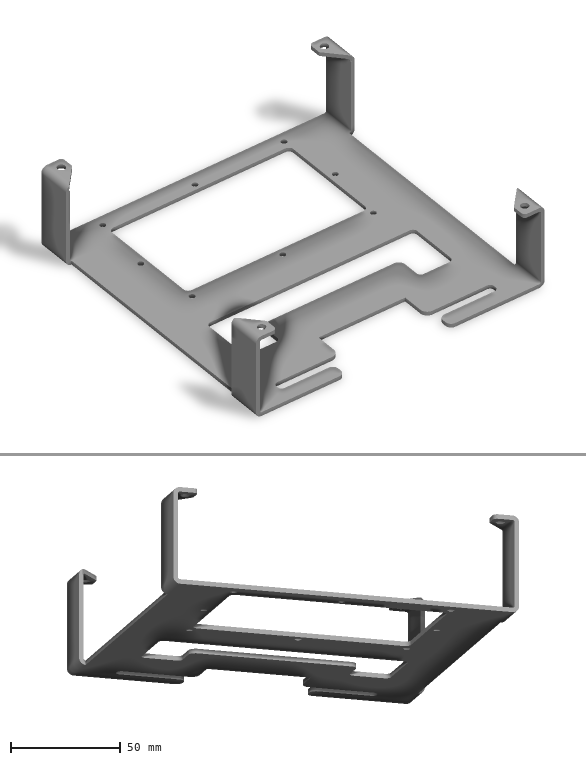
import cadquery as cq

length_x = 162.7
width_y = 166.2
height_z = 46.0
sheet = 2.2
bend_inner = 1.0
bend_outer = bend_inner + sheet

half_x = length_x / 2
half_y = width_y / 2
plate_half_y = half_y - bend_outer

leg_width = 18.8
tab_reach = 12.0
tab_tip_width = 7.6
tab_taper_length = 10.3
tab_corner_radius = 2.0
tab_hole_diameter = 4.3
tab_hole_inset_x = 5.5
tab_hole_inset_y = 7.3

window_x_min = -71.0
window_x_max = -11.6
window_half_y = 52.2
window_radius = 2.7
small_hole_diameter = 3.2
hole_x_left = -75.5
hole_x_left_middle = -74.3
hole_x_centre = -41.7
hole_x_right = -7.8
hole_y_outer = 56.0

c_x_min = 13.0
c_x_max = 43.0
c_x_inner = 28.5
c_half_y = 59.8
c_inner_half_y = 40.2
c_radius = 2.3
c_tongue_radius = 3.5

notch_x = 52.2
notch_half_y = 25.0
notch_corner_radius = 4.0
slot_x_min = 67.6
slot_x_max = 73.1
slot_end_y = 62.7
upper_finger_end_y = 28.5
lower_finger_end_y = -31.9
slot_radius = 2.2
finger_radius = 3.2


def prism(points):
    """Closed polygon in XY extruded through the sheet thickness."""
    return cq.Workplane("XY").polyline(points).close().extrude(sheet)


def box_between(x_min, x_max, y_min, y_max, z_min, z_max):
    """Axis-aligned box given by its limits."""
    size = (x_max - x_min, y_max - y_min, z_max - z_min)
    return cq.Workplane("XY").box(*size, centered=False).translate((x_min, y_min, z_min))


def round_upright_edges(body, radius, x, y_places):
    """Round the vertical edges that stand at x and at each of the y places."""
    reach = 0.2
    for y in y_places:
        selector = cq.selectors.BoxSelector(
            (x - reach, y - reach, -reach), (x + reach, y + reach, sheet + reach)
        )
        body = body.edges("|Z").edges(selector).fillet(radius)
    return body


def plate_blank():
    """Flat plate with the notch, slots and fingers along its +X edge."""
    notched_edge = [
        (half_x, plate_half_y),
        (half_x, upper_finger_end_y),
        (slot_x_max, upper_finger_end_y),
        (slot_x_max, slot_end_y),
        (slot_x_min, slot_end_y),
        (slot_x_min, notch_half_y),
        (notch_x, notch_half_y),
        (notch_x, -notch_half_y),
        (slot_x_min, -notch_half_y),
        (slot_x_min, -slot_end_y),
        (slot_x_max, -slot_end_y),
        (slot_x_max, lower_finger_end_y),
        (half_x, lower_finger_end_y),
        (half_x, -plate_half_y),
    ]
    plain_edge = [(-half_x, -plate_half_y), (-half_x, plate_half_y)]
    plate = prism(notched_edge + plain_edge)
    for finger_end_y in (upper_finger_end_y, lower_finger_end_y):
        for x in (half_x, slot_x_max):
            plate = round_upright_edges(plate, finger_radius, x, (finger_end_y,))
    plate = round_upright_edges(plate, slot_radius, slot_x_max, (slot_end_y, -slot_end_y))
    plate = round_upright_edges(plate, slot_radius, slot_x_min, (slot_end_y, -slot_end_y))
    return round_upright_edges(plate, notch_corner_radius, slot_x_min, (notch_half_y, -notch_half_y))


def window():
    """Rectangular window with rounded corners."""
    body = box_between(window_x_min, window_x_max, -window_half_y, window_half_y, 0, sheet)
    return body.edges("|Z").fillet(window_radius)


def c_opening():
    """C-shaped opening that wraps around a tongue of the plate."""
    upper_half = [
        (c_x_min, c_half_y),
        (c_x_max, c_half_y),
        (c_x_max, c_inner_half_y),
        (c_x_inner, c_inner_half_y),
    ]
    lower_half = [(x, -y) for x, y in reversed(upper_half)]
    body = prism(upper_half + lower_half)
    body = round_upright_edges(body, c_radius, c_x_min, (c_half_y, -c_half_y))
    body = round_upright_edges(body, c_radius, c_x_max, (c_half_y, -c_half_y))
    body = round_upright_edges(body, c_radius, c_x_max, (c_inner_half_y, -c_inner_half_y))
    return round_upright_edges(body, c_tongue_radius, c_x_inner, (c_inner_half_y, -c_inner_half_y))


def small_holes():
    """Fixing holes at the corners and the middle of each side of the window."""
    centres = [(hole_x_left_middle, 0), (hole_x_right, 0)]
    for side in (1, -1):
        centres.append((hole_x_left, side * window_half_y))
        centres.append((hole_x_centre, side * hole_y_outer))
        centres.append((hole_x_right, side * window_half_y))
    return cq.Workplane("XY").pushPoints(centres).circle(small_hole_diameter / 2).extrude(sheet)


def corner_leg():
    """Bent leg with its tab at the +X, +Y corner."""
    tab_end_y = half_y - tab_reach
    inside_y = half_y - sheet
    leg_x_min = half_x - leg_width
    outer = box_between(leg_x_min, half_x, tab_end_y, half_y, 0, height_z)
    outer = outer.edges("|X and >Y").fillet(bend_outer)
    inner = box_between(leg_x_min, half_x, tab_end_y - bend_outer, inside_y, sheet, height_z - sheet)
    inner = inner.edges("|X and >Y").fillet(bend_inner)
    leg = outer.cut(inner)

    foot = box_between(leg_x_min, half_x, tab_end_y, plate_half_y, 0, sheet)
    leg = leg.cut(foot)

    top_bend_z = height_z - bend_outer
    taper_cut = (
        cq.Workplane("XY", origin=(0, 0, top_bend_z))
        .moveTo(leg_x_min, tab_end_y)
        .lineTo(half_x - tab_tip_width, tab_end_y)
        .lineTo(leg_x_min, tab_end_y + tab_taper_length)
        .close()
        .extrude(bend_outer)
    )
    leg = leg.cut(taper_cut)
    tip_corner = cq.selectors.NearestToPointSelector((half_x, tab_end_y, height_z - sheet / 2))
    leg = leg.edges("|Z").edges(tip_corner).fillet(tab_corner_radius)

    hole = (
        cq.Workplane("XY", origin=(half_x - tab_hole_inset_x, half_y - tab_hole_inset_y, top_bend_z))
        .circle(tab_hole_diameter / 2)
        .extrude(bend_outer)
    )
    return leg.cut(hole)


plate = plate_blank().cut(window()).cut(c_opening()).cut(small_holes())

leg_right_back = corner_leg()
leg_left_back = leg_right_back.mirror("YZ")
result = plate
for back_leg in (leg_right_back, leg_left_back):
    result = result.union(back_leg).union(back_leg.mirror("XZ"))